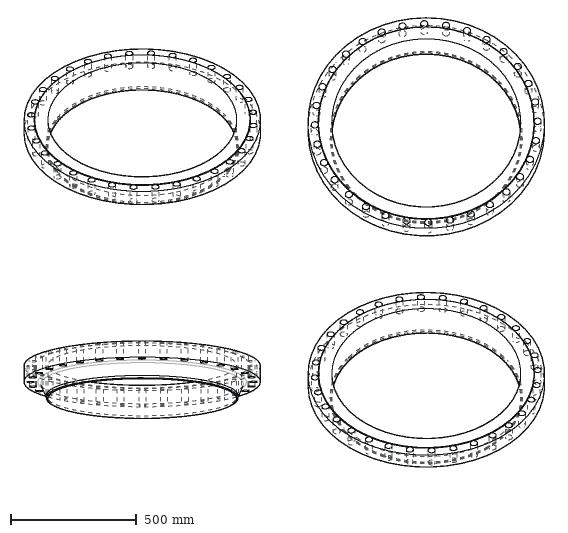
import cadquery as cq

outer_radius = 470.0
bore_radius = 375.0
total_height = 135.0
raised_face_radius = 429.5
raised_face_height = 2.0
raised_face_taper = 2.0
flange_underside = 68.0

neck_root_radius = 406.0
neck_root_fillet = 13.0
neck_end_radius = 382.0
neck_end_height = 12.0
end_bevel_height = 3.0
end_bevel_width = 5.0

bolt_count = 32
bolt_circle_radius = 443.0
bolt_hole_diameter = 28.0


def make_body():
    """Revolve the flange and weld neck section about Z."""
    flange_top = total_height - raised_face_height
    return (
        cq.Workplane("XZ")
        .moveTo(bore_radius, 0)
        .lineTo(neck_end_radius - end_bevel_width, 0)
        .lineTo(neck_end_radius, end_bevel_height)
        .lineTo(neck_end_radius, neck_end_height)
        .lineTo(neck_root_radius, flange_underside)
        .lineTo(outer_radius, flange_underside)
        .lineTo(outer_radius, flange_top)
        .lineTo(raised_face_radius, flange_top)
        .lineTo(raised_face_radius - raised_face_taper, total_height)
        .lineTo(bore_radius, total_height)
        .close()
        .revolve(360, (0, 0, 0), (0, 1, 0))
    )


def make_bolt_holes():
    """Full-height cutters on the bolt circle, the first one on +X."""
    return (
        cq.Workplane("XY")
        .polarArray(bolt_circle_radius, 0, 360, bolt_count)
        .circle(bolt_hole_diameter / 2)
        .extrude(total_height)
    )


def fillet_neck_root(body):
    """Round the inner corner between the neck and the flange underside."""
    margin = 1.0
    reach = neck_root_radius + margin
    root_edge = cq.selectors.BoxSelector(
        (-reach, -reach, flange_underside - margin),
        (reach, reach, flange_underside + margin),
        boundingbox=True,
    )
    return body.edges(root_edge).fillet(neck_root_fillet)


result = fillet_neck_root(make_body()).cut(make_bolt_holes())